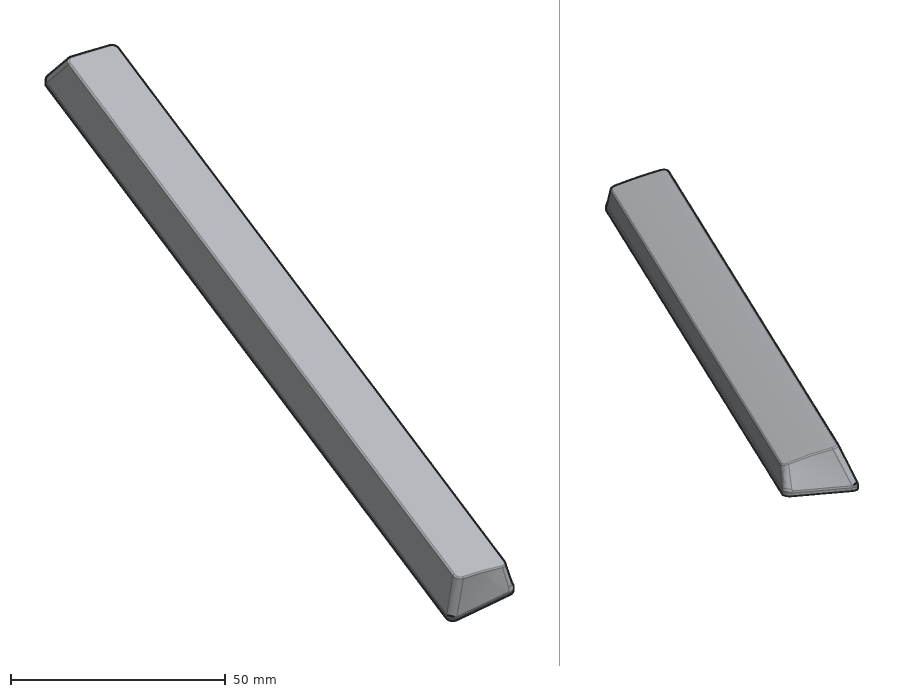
import cadquery as cq
import math

length = 184.8
width = 18.1

rim_height = 1.0

band_height = 0.46
band_inset = 0.11
band_top = rim_height + band_height

end_inset = 3.7
front_edge_y = -5.0
front_edge_z = 10.2
rear_edge_y = 8.7
rear_edge_z = 6.5
crown_radius = 92.5

corner_radius = 1.8
top_edge_radius = 0.46

slope_run = rear_edge_y - front_edge_y
slope_drop = front_edge_z - rear_edge_z
slope_length = math.hypot(slope_run, slope_drop)
crown_rise = crown_radius - math.sqrt(crown_radius**2 - (slope_length / 2) ** 2)
slope_plane = cq.Plane(
    origin=(0, (front_edge_y + rear_edge_y) / 2, (front_edge_z + rear_edge_z) / 2),
    xDir=(1, 0, 0),
    normal=(0, slope_drop, slope_run),
)


def make_rim():
    return cq.Workplane("XY").rect(length, width).extrude(rim_height)


def make_band():
    taper = math.degrees(math.atan2(band_inset, band_height))
    rim_top = cq.Workplane("XY").workplane(offset=rim_height)
    return rim_top.rect(length, width).extrude(band_height, taper=taper)


def make_tapered_body():
    """Straight-sided loft from the band up to a sloping plane that touches the top of the crown."""
    bottom = cq.Sketch().rect(length - 2 * band_inset, width - 2 * band_inset)
    bottom = bottom.moved(cq.Location((0, 0, band_top)))
    top_plane = cq.Plane(
        origin=slope_plane.toWorldCoords((0, 0, crown_rise)),
        xDir=slope_plane.xDir,
        normal=slope_plane.zDir,
    )
    top = cq.Sketch().rect(length - 2 * end_inset, slope_length).moved(cq.Location(top_plane))
    return cq.Workplane("XY").placeSketch(bottom, top).loft(ruled=True)


def make_crown():
    """Large cylinder along X whose upper side is the shallow arched top."""
    axis_plane = cq.Plane(
        origin=slope_plane.toWorldCoords((-length / 2, 0, crown_rise - crown_radius)),
        xDir=-slope_plane.zDir,
        normal=slope_plane.xDir,
    )
    return cq.Workplane(axis_plane).circle(crown_radius).extrude(length)


def round_corners(body):
    """Round the upright and leaning corner edges, whose midpoints lie below the top's outline."""
    below_top = cq.selectors.BoxSelector(
        (-length, -width, 0),
        (length, width, rear_edge_z - top_edge_radius),
    )
    return body.edges("not(|X or |Y)").edges(below_top).fillet(corner_radius)


def round_top_edge(body):
    arched_top = body.faces("%CYLINDER").faces(">>Z")
    return arched_top.edges().fillet(top_edge_radius)


crowned_body = make_tapered_body().intersect(make_crown())
sharp_part = make_rim().union(make_band()).union(crowned_body)
result = round_top_edge(round_corners(sharp_part)).solids()